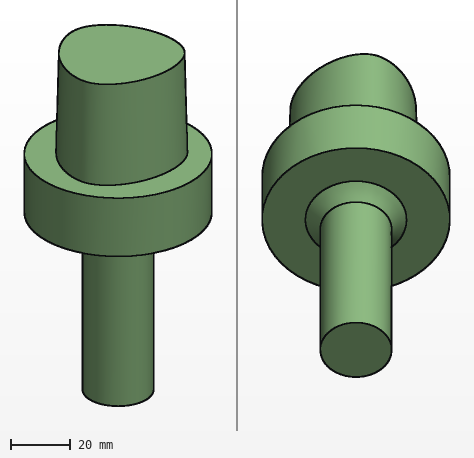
import cadquery as cq
import math

total_length = 127.5
stem_diameter = 24.0
flange_diameter = 63.0
flange_bottom = 67.5
flange_top = 89.6

neck_height = 5.0
neck_top_diameter = 33.9
neck_hollow = 0.32

shank_base_width = 44.1
shank_taper = 1 / 20
lobe_height = 1.3
curve_points = 72

shank_length = total_length - flange_top
shank_top_width = shank_base_width - shank_taper * shank_length


def cylinder(diameter, bottom, top):
    return cq.Workplane("XY").workplane(offset=bottom).circle(diameter / 2).extrude(top - bottom)


def lobed_point(width, angle):
    """Point of a constant-width trilobe with one lobe towards -Y."""
    support = width / 2 + lobe_height * math.sin(3 * angle)
    slope = 3 * lobe_height * math.cos(3 * angle)
    return (
        support * math.cos(angle) - slope * math.sin(angle),
        support * math.sin(angle) + slope * math.cos(angle),
    )


def lobed_outline(width):
    start = -math.pi / 2
    step = 2 * math.pi / curve_points
    return [lobed_point(width, start + i * step) for i in range(curve_points)]


def make_neck():
    stem_radius = stem_diameter / 2
    neck_bottom = flange_bottom - neck_height
    return (
        cq.Workplane("XZ")
        .moveTo(0, neck_bottom)
        .lineTo(stem_radius, neck_bottom)
        .sagittaArc((neck_top_diameter / 2, flange_bottom), neck_hollow)
        .lineTo(0, flange_bottom)
        .close()
        .revolve(360, (0, 0, 0), (0, 1, 0))
    )


def make_shank():
    return (
        cq.Workplane("XY")
        .workplane(offset=flange_top)
        .spline(lobed_outline(shank_base_width), periodic=True)
        .wire()
        .workplane(offset=shank_length)
        .spline(lobed_outline(shank_top_width), periodic=True)
        .wire()
        .loft(ruled=True)
    )


stem = cylinder(stem_diameter, 0, flange_bottom)
flange = cylinder(flange_diameter, flange_bottom, flange_top)
result = stem.union(make_neck()).union(flange).union(make_shank())